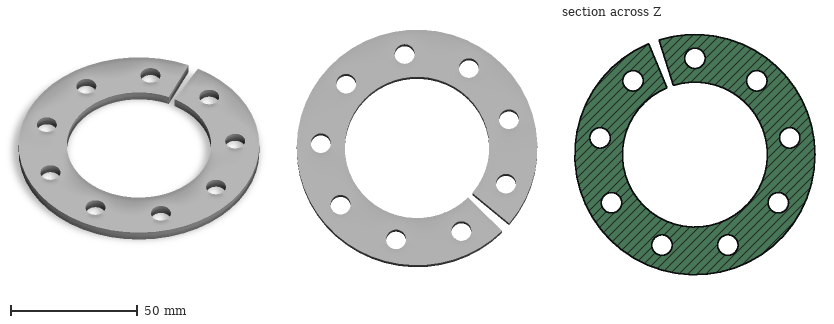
import cadquery as cq
import math

outer_diameter = 95.2
inner_diameter = 57.1
thickness = 4.0

hole_count = 9
hole_diameter = 7.9
hole_circle_diameter = 76.2
first_hole_angle = 90.0

split_angle = 5.0

hole_pitch_angle = 360.0 / hole_count
split_center_angle = first_hole_angle + hole_pitch_angle / 2


def polar_point(radius, angle):
    """Point in the XY plane at a radius and an angle in degrees."""
    return (
        radius * math.cos(math.radians(angle)),
        radius * math.sin(math.radians(angle)),
    )


def flat_ring():
    return (
        cq.Workplane("XY")
        .circle(outer_diameter / 2)
        .circle(inner_diameter / 2)
        .extrude(thickness)
    )


def bolt_holes():
    return (
        cq.Workplane("XY")
        .polarArray(hole_circle_diameter / 2, first_hole_angle, 360, hole_count)
        .circle(hole_diameter / 2)
        .extrude(thickness)
    )


def radial_split():
    """Wedge from the ring axis to beyond the rim, so both end faces are radial."""
    wedge_length = outer_diameter
    return (
        cq.Workplane("XY")
        .polyline([
            (0, 0),
            polar_point(wedge_length, split_center_angle - split_angle / 2),
            polar_point(wedge_length, split_center_angle + split_angle / 2),
        ])
        .close()
        .extrude(thickness)
    )


result = flat_ring().cut(bolt_holes()).cut(radial_split())